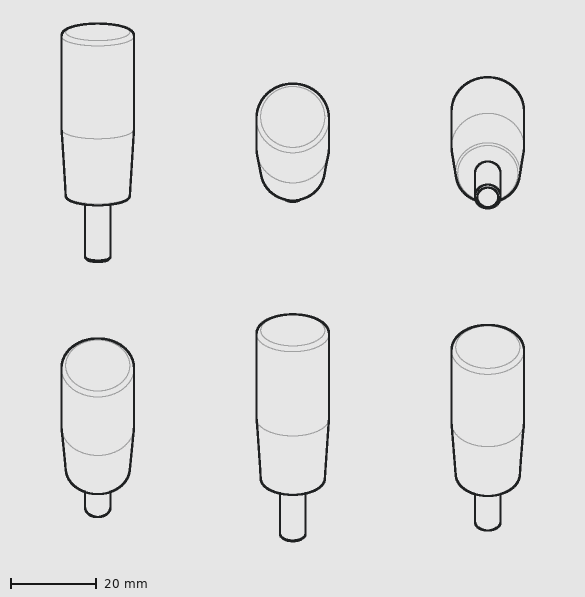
import cadquery as cq

grip_diameter = 17.0
grip_length = 40.0
straight_length = 23.5
top_fillet = 1.0
grip_base_diameter = 15.0
base_fillet = 0.5

stud_diameter = 6.0
stud_length = 15.0
stud_tip_diameter = 4.92
stud_chamfer = (stud_diameter - stud_tip_diameter) / 2

taper_height = grip_length - straight_length


def make_grip():
    """Round grip: tapered lower part, straight upper part, rounded rims."""
    profile = (
        cq.Workplane("XZ")
        .lineTo(grip_base_diameter / 2, 0)
        .lineTo(grip_diameter / 2, taper_height)
        .lineTo(grip_diameter / 2, grip_length)
        .lineTo(0, grip_length)
        .close()
    )
    grip = profile.revolve(360, (0, 0, 0), (0, 1, 0))
    grip = grip.faces(">Z").edges().fillet(top_fillet)
    return grip.faces("<Z").edges().fillet(base_fillet)


def make_stud():
    """Plain stud below the grip with a chamfered tip."""
    stud = cq.Workplane("XY").circle(stud_diameter / 2).extrude(-stud_length)
    return stud.faces("<Z").edges().chamfer(stud_chamfer)


result = make_grip().union(make_stud())